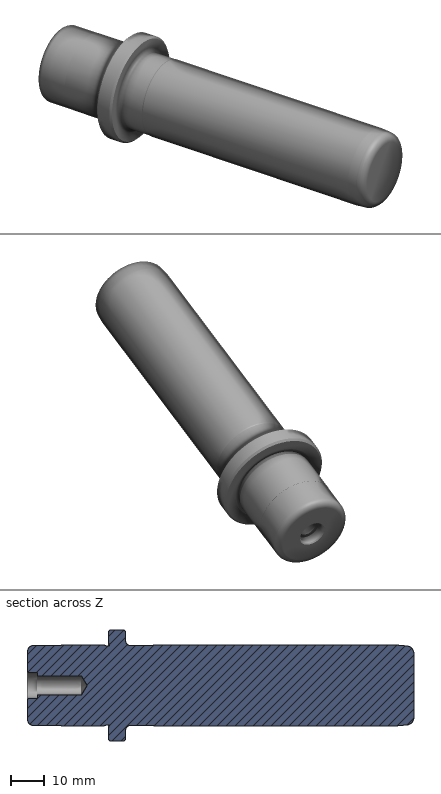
import cadquery as cq
import math

total_length = 114.0
fit_diameter = 23.9

lead_diameter = 23.8
lead_length = 10.0
spigot_end_radius = 1.9

collar_diameter = 33.0
collar_start = 23.8
collar_width = 5.2
collar_chamfer = 0.6
relief_start = 22.7
relief_depth = 0.28
relief_ramp_length = 0.7
relief_face_diameter = 25.5

root_fillet = 1.3
neck_diameter = 23.7
neck_end = 36.9
neck_step_length = 0.3
shank_taper_start = 109.0
shank_taper_end = 111.6
shank_taper_depth = 0.2

mouth_diameter = 8.2
mouth_chamfer = 0.3
counterbore_depth = 3.0
drill_diameter = 5.4
drill_depth = 16.0
drill_point_angle = 118.0

fit_radius = fit_diameter / 2
lead_radius = lead_diameter / 2
neck_radius = neck_diameter / 2
collar_radius = collar_diameter / 2
collar_end = collar_start + collar_width


def make_body():
    """Revolve the half outline, drawn as (X, radius), about the X axis."""
    arc_offset = 1 - math.sqrt(0.5)
    relief_radius = fit_radius - relief_depth
    relief_face_radius = relief_face_diameter / 2
    taper_radius = fit_radius - shank_taper_depth
    end_radius = total_length - shank_taper_end
    outline = (
        cq.Workplane("XY")
        .lineTo(0, lead_radius - spigot_end_radius)
        .threePointArc(
            (spigot_end_radius * arc_offset, lead_radius - spigot_end_radius * arc_offset),
            (spigot_end_radius, lead_radius),
        )
        .lineTo(lead_length, lead_radius)
        .lineTo(lead_length, fit_radius)
        .lineTo(relief_start, fit_radius)
        .lineTo(relief_start + relief_ramp_length, relief_radius)
        .lineTo(collar_start + relief_depth, relief_radius)
        .lineTo(collar_start, relief_face_radius)
        .lineTo(collar_start, collar_radius - collar_chamfer)
        .lineTo(collar_start + collar_chamfer, collar_radius)
        .lineTo(collar_end - collar_chamfer, collar_radius)
        .lineTo(collar_end, collar_radius - collar_chamfer)
        .lineTo(collar_end, neck_radius + root_fillet)
        .threePointArc(
            (collar_end + root_fillet * arc_offset, neck_radius + root_fillet * arc_offset),
            (collar_end + root_fillet, neck_radius),
        )
        .lineTo(neck_end, neck_radius)
        .lineTo(neck_end + neck_step_length, fit_radius)
        .lineTo(shank_taper_start, fit_radius)
        .lineTo(shank_taper_end, taper_radius)
        .threePointArc(
            (total_length - end_radius * arc_offset, taper_radius - end_radius * arc_offset),
            (total_length, taper_radius - end_radius),
        )
        .lineTo(total_length, 0)
        .close()
    )
    return outline.revolve(360, (0, 0, 0), (1, 0, 0))


def make_hole():
    """Counterbored drill hole with a chamfered mouth and a conical bottom."""
    mouth_radius = mouth_diameter / 2
    bore_radius = mouth_radius - mouth_chamfer
    drill_radius = drill_diameter / 2
    point_length = drill_radius / math.tan(math.radians(drill_point_angle / 2))
    outline = (
        cq.Workplane("XY")
        .lineTo(0, mouth_radius)
        .lineTo(mouth_chamfer, bore_radius)
        .lineTo(counterbore_depth, bore_radius)
        .lineTo(counterbore_depth, drill_radius)
        .lineTo(drill_depth, drill_radius)
        .lineTo(drill_depth + point_length, 0)
        .close()
    )
    return outline.revolve(360, (0, 0, 0), (1, 0, 0))


result = make_body().cut(make_hole())